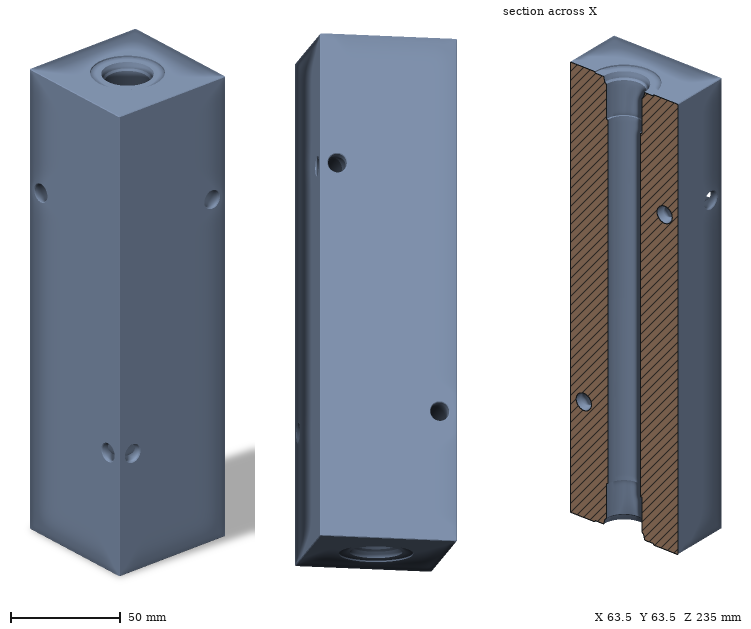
import cadquery as cq
import math

length = 235.0
width = 63.5
edge_chamfer = 0.33

spotface_diameter = 34.0
spotface_depth = 0.7
relief_diameter = 24.0
relief_taper = 15.0
relief_depth = 2.8
thread_diameter = 20.7
thread_depth = 22.5
bore_diameter = 18.8

cross_hole_diameter = 8.7
cross_hole_chamfer = 0.35
cross_hole_side_offset = 8.0
cross_hole_end_offset = 60.4

cross_hole_side = width / 2 - cross_hole_side_offset
cross_hole_height = length / 2 - cross_hole_end_offset


def make_block():
    block = cq.Workplane("XY").box(width, width, length)
    return block.edges().chamfer(edge_chamfer)


def make_port_cutter():
    """Half of the stepped passage, from the block centre to the upper end."""
    bore_radius = bore_diameter / 2
    thread_radius = thread_diameter / 2
    relief_radius = relief_diameter / 2
    spotface_radius = spotface_diameter / 2
    top = length / 2
    spotface_floor = top - spotface_depth
    relief_floor = spotface_floor - relief_depth
    relief_floor_radius = relief_radius - relief_depth * math.tan(math.radians(relief_taper))
    thread_top = relief_floor - (relief_floor_radius - thread_radius)
    thread_bottom = top - thread_depth
    profile = [
        (0, 0),
        (bore_radius, 0),
        (bore_radius, thread_bottom),
        (thread_radius, thread_bottom),
        (thread_radius, thread_top),
        (relief_floor_radius, relief_floor),
        (relief_radius, spotface_floor),
        (spotface_radius, spotface_floor),
        (spotface_radius, top),
        (0, top),
    ]
    return cq.Workplane("XZ").polyline(profile).close().revolve(360, (0, 0), (0, 1))


def make_cross_hole_cutter():
    """A cross hole through the full width, lying along the Y axis, chamfered at both mouths."""
    half_width = width / 2
    radius = cross_hole_diameter / 2
    mouth_radius = radius + cross_hole_chamfer
    profile = [
        (0, -half_width),
        (mouth_radius, -half_width),
        (radius, cross_hole_chamfer - half_width),
        (radius, half_width - cross_hole_chamfer),
        (mouth_radius, half_width),
        (0, half_width),
    ]
    return cq.Workplane("XY").polyline(profile).close().revolve(360, (0, 0), (0, 1))


result = make_block()

upper_port = make_port_cutter()
lower_port = upper_port.mirror("XY")
result = result.cut(upper_port).cut(lower_port)

hole_along_y = make_cross_hole_cutter()
hole_along_x = hole_along_y.rotate((0, 0, 0), (0, 0, 1), 90)
for sign in (1, -1):
    side = sign * cross_hole_side
    height = sign * cross_hole_height
    result = result.cut(hole_along_y.translate((-side, 0, height)))
    result = result.cut(hole_along_x.translate((0, side, height)))